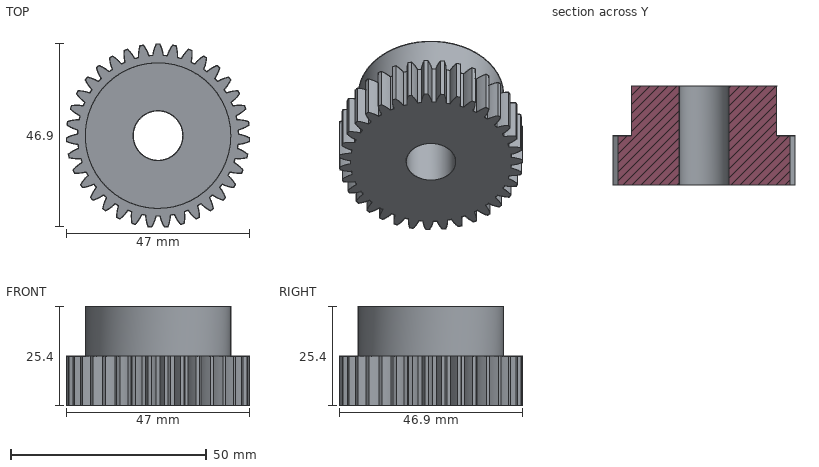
import cadquery as cq
import math

TOOTH_COUNT = 35
OUTER_RADIUS = 23.5
PRESSURE_ANGLE = math.radians(20)
DEDENDUM_FACTOR = 1.25
ROOT_TOOTH_WIDTH = 2.72
TOTAL_HEIGHT = 25.4
HUB_DIAMETER = 37.3
BORE_DIAMETER = 12.7

MODULE = 2 * OUTER_RADIUS / (TOOTH_COUNT + 2)
PITCH_RADIUS = MODULE * TOOTH_COUNT / 2
BASE_RADIUS = PITCH_RADIUS * math.cos(PRESSURE_ANGLE)
ROOT_RADIUS = PITCH_RADIUS - DEDENDUM_FACTOR * MODULE
TOOTH_PITCH = 2 * math.pi / TOOTH_COUNT
FACE_WIDTH = TOTAL_HEIGHT / 2
FIRST_TOOTH_ANGLE = math.pi / 2


def polar(radius, angle):
    return (radius * math.cos(angle), radius * math.sin(angle))


def involute(angle):
    return math.tan(angle) - angle


ROOT_HALF_ANGLE = ROOT_TOOTH_WIDTH / (2 * ROOT_RADIUS)
PITCH_HALF_ANGLE = TOOTH_PITCH / 4
TIP_PRESSURE_ANGLE = math.acos(BASE_RADIUS / OUTER_RADIUS)
TIP_HALF_ANGLE = PITCH_HALF_ANGLE + involute(PRESSURE_ANGLE) - involute(TIP_PRESSURE_ANGLE)


def add_tooth(outline, center):
    """Continue the outline counterclockwise over one tooth and the gap after it."""
    return (
        outline.threePointArc(
            polar(PITCH_RADIUS, center - PITCH_HALF_ANGLE),
            polar(OUTER_RADIUS, center - TIP_HALF_ANGLE),
        )
        .threePointArc(
            polar(OUTER_RADIUS, center),
            polar(OUTER_RADIUS, center + TIP_HALF_ANGLE),
        )
        .threePointArc(
            polar(PITCH_RADIUS, center + PITCH_HALF_ANGLE),
            polar(ROOT_RADIUS, center + ROOT_HALF_ANGLE),
        )
        .threePointArc(
            polar(ROOT_RADIUS, center + TOOTH_PITCH / 2),
            polar(ROOT_RADIUS, center + TOOTH_PITCH - ROOT_HALF_ANGLE),
        )
    )


def make_gear():
    start = polar(ROOT_RADIUS, FIRST_TOOTH_ANGLE - ROOT_HALF_ANGLE)
    outline = cq.Workplane("XY").moveTo(*start)
    for tooth in range(TOOTH_COUNT):
        outline = add_tooth(outline, FIRST_TOOTH_ANGLE + tooth * TOOTH_PITCH)
    return outline.close().extrude(FACE_WIDTH)


def make_cylinder(diameter):
    """A cylinder on the gear axis, as tall as the whole part."""
    return cq.Workplane("XY").circle(diameter / 2).extrude(TOTAL_HEIGHT)


hub = make_cylinder(HUB_DIAMETER)
bore = make_cylinder(BORE_DIAMETER)
result = make_gear().union(hub).cut(bore)